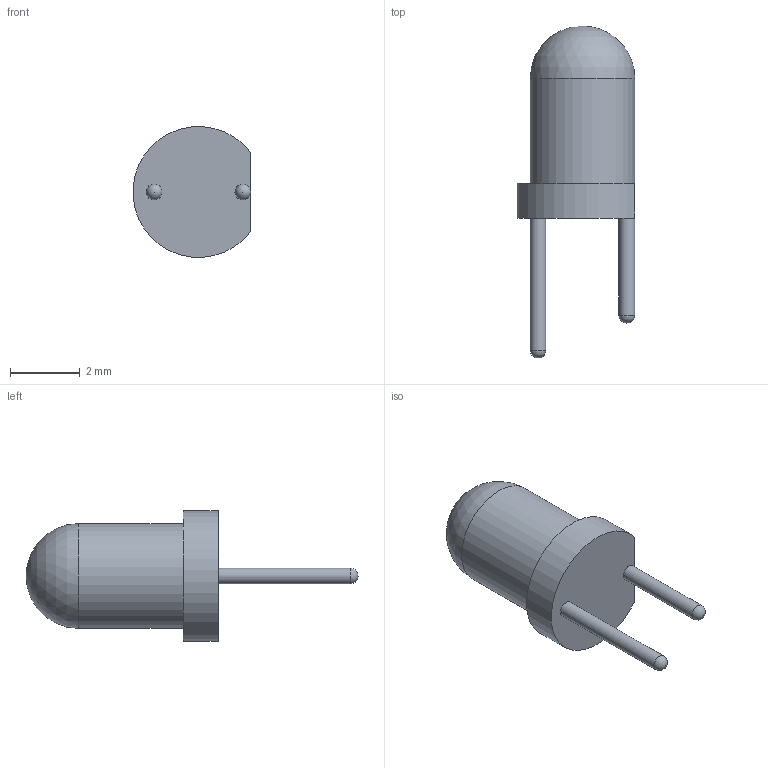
import cadquery as cq

lens_radius = 1.5
lens_straight_length = 3.0
flange_diameter = 3.75
flange_thickness = 1.0
flat_offset = lens_radius
lead_pitch = 2.54
lead_diameter = 0.45
long_lead_length = 4.0
short_lead_length = 3.0

flange_radius = flange_diameter / 2
lead_radius = lead_diameter / 2
dome_start = flange_thickness + lens_straight_length


def revolved_round_rod(radius, start, straight_end, direction):
    """Rod on the Y axis with a hemispherical end pointing along +Y (1) or -Y (-1)."""
    tip = straight_end + direction * radius
    arc_offset = radius * 0.5 ** 0.5
    return (
        cq.Workplane("XY")
        .moveTo(0, start)
        .lineTo(radius, start)
        .lineTo(radius, straight_end)
        .threePointArc((arc_offset, straight_end + direction * arc_offset), (0, tip))
        .close()
        .revolve(360, (0, 0, 0), (0, 1, 0))
    )


def make_lens():
    """Cylindrical lens with a domed end, standing on the flange."""
    return revolved_round_rod(lens_radius, flange_thickness, dome_start, 1)


def make_flange():
    """Round flange with one flat on its +X side."""
    disc = cq.Workplane("XZ").circle(flange_radius).extrude(-flange_thickness)
    kept_width = flange_radius + flat_offset
    keep_box = cq.Workplane("XY").box(
        kept_width, flange_thickness, flange_diameter, centered=(False, False, True)
    )
    return disc.intersect(keep_box.translate((-flange_radius, 0, 0)))


def make_lead(x, length):
    """Round-ended lead reaching from inside the flange to Y = -length."""
    lead = revolved_round_rod(lead_radius, flange_thickness / 2, lead_radius - length, -1)
    return lead.translate((x, 0, 0))


long_lead = make_lead(-lead_pitch / 2, long_lead_length)
short_lead = make_lead(lead_pitch / 2, short_lead_length)
result = make_lens().union(make_flange()).union(long_lead).union(short_lead)